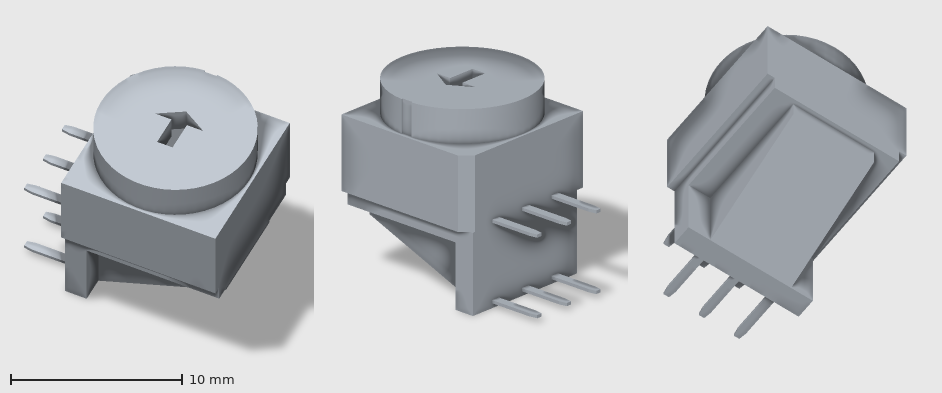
import cadquery as cq


total_length = 13.5
body_side = 10.0
total_height = 12.3

cover_top = 10.1
cover_bottom = 6.24
flange_bottom = 5.26
base_plate_bottom = 4.27

corner_chamfer = 0.7
base_width = 8.96
upright_thickness = 1.4
wedge_width = 5.83
wedge_end_setback = 0.32
wedge_end_bottom = 3.25

dial_diameter = 9.63
rotor_diameter = 4.1
notch_width = 0.78
notch_depth = 0.12

arrow_half_length = 1.43
arrow_head_base = 0.5
arrow_head_width = 3.13
arrow_stem_width = 1.0
arrow_depth = 1.5

pin_width = 0.57
pin_thickness = 0.2
pin_tip_width = 0.38
pin_taper_length = 0.54
pin_pitch = 2.54
pin_lower_level = 0.4
pin_row_spacing = 5.09

body_half = body_side / 2
pin_length = total_length - body_side
dial_height = total_height - cover_top


def chamfered_block(bottom, top):
    """Square block with the vertical (-X, +Y) corner cut off."""
    return (
        cq.Workplane("XY", origin=(0, 0, bottom))
        .rect(body_side, body_side)
        .extrude(top - bottom)
        .edges("|Z and <X and >Y")
        .chamfer(corner_chamfer)
    )


def side_profile(points, width):
    """Solid from an (X, Z) outline, centred on Y = 0."""
    return cq.Workplane("XZ").polyline(points).close().extrude(width / 2, both=True)


def make_base():
    """L-shaped base: plate under the flange, upright on the -X side, sloped wedge between them."""
    upright_inner = -body_half + upright_thickness
    wedge_end = body_half - wedge_end_setback
    frame = side_profile(
        [
            (-body_half, 0),
            (upright_inner, 0),
            (upright_inner, base_plate_bottom),
            (body_half, base_plate_bottom),
            (body_half, flange_bottom),
            (-body_half, flange_bottom),
        ],
        base_width,
    )
    wedge = side_profile(
        [
            (upright_inner, 0),
            (wedge_end, wedge_end_bottom),
            (wedge_end, base_plate_bottom),
            (upright_inner, base_plate_bottom),
        ],
        wedge_width,
    )
    return frame.union(wedge)


def make_dial():
    """Dial ring with a rim notch on +Y."""
    dial_radius = dial_diameter / 2
    ring = (
        cq.Workplane("XY", origin=(0, 0, cover_top))
        .circle(dial_radius)
        .circle(rotor_diameter / 2)
        .extrude(dial_height)
    )
    notch = (
        cq.Workplane("XY", origin=(0, dial_radius, cover_top))
        .rect(notch_width, 2 * notch_depth)
        .extrude(dial_height)
    )
    return ring.cut(notch)


def make_rotor():
    """Round centre of the dial with an arrow recess pointing to +Y."""
    head_half = arrow_head_width / 2
    stem_half = arrow_stem_width / 2
    rotor = cq.Workplane("XY", origin=(0, 0, cover_top)).circle(rotor_diameter / 2).extrude(dial_height)
    arrow = (
        cq.Workplane("XY", origin=(0, 0, total_height))
        .polyline(
            [
                (0, arrow_half_length),
                (head_half, arrow_head_base),
                (stem_half, arrow_head_base),
                (stem_half, -arrow_half_length),
                (-stem_half, -arrow_half_length),
                (-stem_half, arrow_head_base),
                (-head_half, arrow_head_base),
            ]
        )
        .close()
        .extrude(-arrow_depth)
    )
    return rotor.cut(arrow)


def make_pin(y, z):
    """Flat pin along -X with a tapered tip, centred on (y, z)."""
    root = -body_half
    tip = root - pin_length
    taper_start = tip + pin_taper_length
    return (
        cq.Workplane("XY", origin=(0, y, z))
        .polyline(
            [
                (root, pin_width / 2),
                (taper_start, pin_width / 2),
                (tip, pin_tip_width / 2),
                (tip, -pin_tip_width / 2),
                (taper_start, -pin_width / 2),
                (root, -pin_width / 2),
            ]
        )
        .close()
        .extrude(pin_thickness / 2, both=True)
    )


flange_and_base = chamfered_block(flange_bottom, cover_bottom).union(make_base())
result = flange_and_base.union(chamfered_block(cover_bottom, cover_top), clean=False)
for dial_part in (make_dial(), make_rotor()):
    result = result.union(dial_part, clean=False)

for pin_level in (pin_lower_level, pin_lower_level + pin_row_spacing):
    for column in (-1, 0, 1):
        result = result.union(make_pin(column * pin_pitch, pin_level), clean=False)